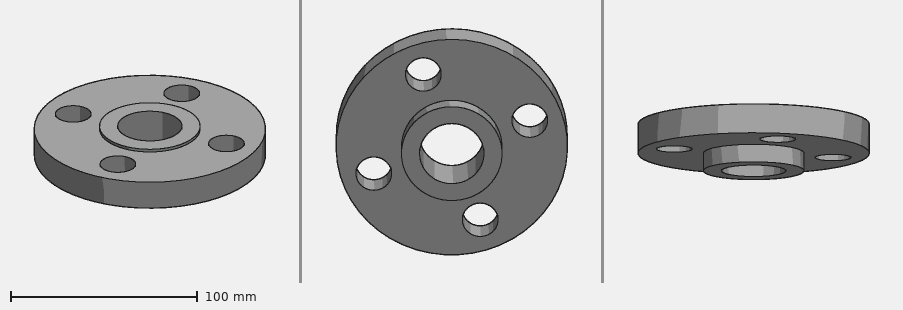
import cadquery as cq

flange_diameter = 124.0
flange_thickness = 15.7

hub_diameter = 53.9
hub_height = 9.5
raised_face_height = 1.6
bore_diameter = 34.5

bolt_hole_diameter = 19.1
bolt_circle_diameter = 88.9
bolt_count = 4
first_bolt_angle = 45.0

total_height = hub_height + flange_thickness + raised_face_height


def cylinder(diameter, height, base_z=0.0):
    """Solid cylinder on the Z axis, starting at base_z."""
    return cq.Workplane("XY").workplane(offset=base_z).circle(diameter / 2).extrude(height)


def bolt_holes():
    """Cutters for the bolt holes, through the full height."""
    return (
        cq.Workplane("XY")
        .polarArray(bolt_circle_diameter / 2, first_bolt_angle, 360, bolt_count)
        .circle(bolt_hole_diameter / 2)
        .extrude(total_height)
    )


plate = cylinder(flange_diameter, flange_thickness, hub_height)
hub_and_raised_face = cylinder(hub_diameter, total_height)
bore = cylinder(bore_diameter, total_height)

result = plate.union(hub_and_raised_face).cut(bore).cut(bolt_holes())